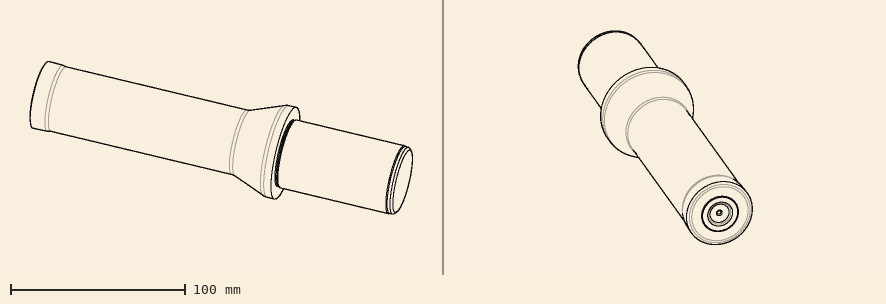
import cadquery as cq
import math

total_length = 219.0

face_radius = 16.9
face_setback = 0.5
rim_radius = 18.2
rim_setback = 0.7
head_radius = 39.5 / 2
head_front_x = 1.3
head_rear_radius = 19.5
head_rear_x = 10.0
neck_start_x = 12.0

neck_radius = 38.0 / 2
flange_radius = 54.0 / 2
flare_start_x = 122.0
flare_end_x = 143.0
blend_reach = 1.0
flange_rear_x = 148.5

shank_radius = 40.0 / 2
relief_radius = 39.5 / 2
groove_radius = 19.5
groove_start_x = 149.1
groove_end_x = 149.8
rear_step_chamfer = 0.7
shank_end_x = 216.0
rear_chamfer = 1.3

screw_radius = 11.0
screw_chamfer = 0.5
screw_length = 6.5
socket_mouth_radius = 7.5
socket_step_radius = 6.5
socket_step_depth = 0.7
socket_radius = 5.7
socket_mouth_depth = 1.0
socket_cone_angle = math.radians(8)
pilot_radius = 1.8
pilot_floor_radius = 1.0
pilot_chamfer = pilot_radius - pilot_floor_radius
cone_depth = socket_mouth_depth + (socket_radius - pilot_radius) * math.tan(socket_cone_angle)


def revolve_about_x(profile):
    """Revolve a closed (x, radius) profile a full turn about the X axis."""
    return profile.close().revolve(360, (0, 0, 0), (1, 0, 0))


def make_holder():
    """Turned head, neck, flange and shank with a round seat for the screw."""
    flare_angle = math.atan2(flange_radius - neck_radius, flare_end_x - flare_start_x)
    blend_dx = blend_reach * math.cos(flare_angle)
    blend_dr = blend_reach * math.sin(flare_angle)

    profile = (
        cq.Workplane("XY")
        .moveTo(screw_length, 0)
        .lineTo(screw_length, screw_radius)
        .lineTo(0, screw_radius)
        .lineTo(face_setback, face_radius)
        .lineTo(rim_setback, rim_radius)
        .lineTo(head_front_x, head_radius)
        .lineTo(head_rear_x, head_rear_radius)
        .lineTo(neck_start_x, neck_radius)
        .lineTo(flare_start_x - blend_reach, neck_radius)
        .tangentArcPoint((flare_start_x + blend_dx, neck_radius + blend_dr), relative=False)
        .lineTo(flare_end_x - blend_dx, flange_radius - blend_dr)
        .tangentArcPoint((flare_end_x + blend_reach, flange_radius), relative=False)
        .lineTo(flange_rear_x, flange_radius)
        .lineTo(flange_rear_x, relief_radius)
        .lineTo(groove_start_x, groove_radius)
        .lineTo(groove_end_x, groove_radius)
        .lineTo(groove_end_x + shank_radius - groove_radius, shank_radius)
        .lineTo(shank_end_x - rear_step_chamfer, shank_radius)
        .lineTo(shank_end_x, relief_radius)
        .lineTo(total_length - rear_chamfer, relief_radius)
        .lineTo(total_length, relief_radius - rear_chamfer)
        .lineTo(total_length, 0)
    )
    return revolve_about_x(profile)


def make_screw():
    """Round screw with a chamfered rim and a conical socket in its face."""
    profile = (
        cq.Workplane("XY")
        .moveTo(screw_length, 0)
        .lineTo(screw_length, screw_radius)
        .lineTo(screw_chamfer, screw_radius)
        .lineTo(0, screw_radius - screw_chamfer)
        .lineTo(0, socket_mouth_radius)
        .lineTo(socket_step_depth, socket_step_radius)
        .lineTo(socket_mouth_depth, socket_radius)
        .lineTo(cone_depth, pilot_radius)
        .lineTo(cone_depth + pilot_chamfer, pilot_floor_radius)
        .lineTo(cone_depth + pilot_chamfer, 0)
    )
    return revolve_about_x(profile)


holder = make_holder()
screw = make_screw()
result = cq.Compound.makeCompound([holder.val(), screw.val()])